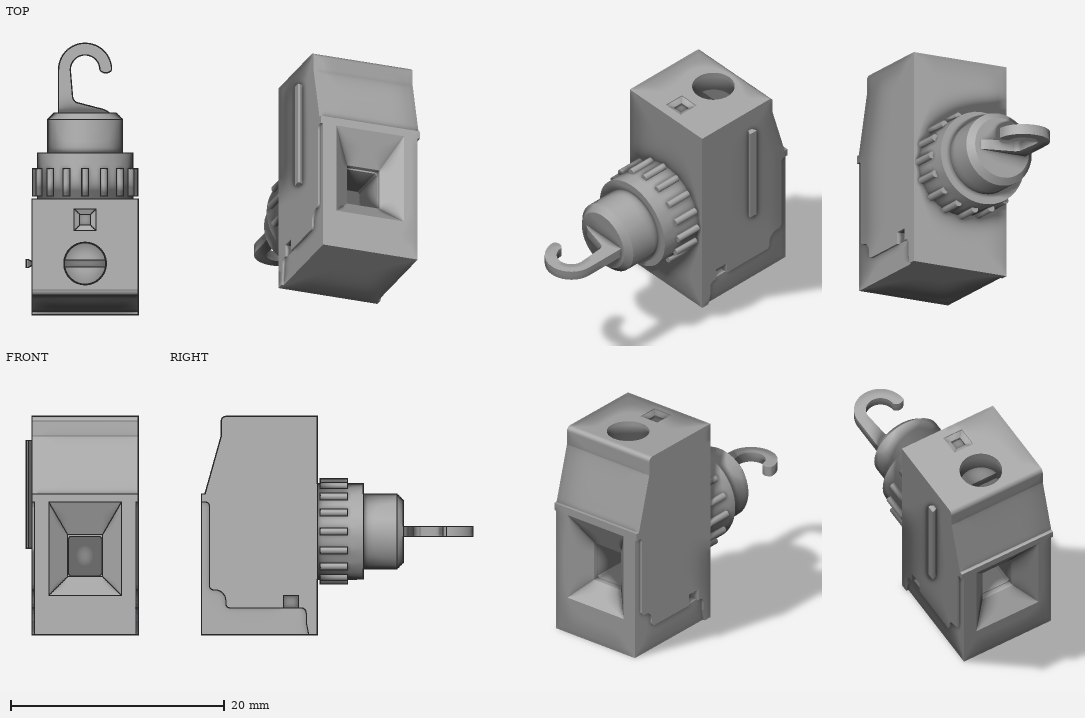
import cadquery as cq
import math


width = 10.0
depth = 10.9
height = 20.5
half_width = width / 2
brow_y = 1.85
brow_round = 0.45
slope_top_z = 18.67
slope_bottom_y = 0.33
ledge_z = 13.2

step_depth = 0.23
step_top_z = 12.45
step_front_y = 0.76
step_shoulder_z = 4.2
step_shoulder_y = 2.3
step_low_z = 2.52
step_back_y = 9.85
step_back_foot_y = 10.07
step_back_bend_z = 1.17
step_corner_round = 0.38
step_shoulder_round = 1.02
step_back_round = 0.5

pocket_front_y = 7.7
pocket_back_y = 9.1
pocket_height = 1.15
pocket_depth = 0.85

funnel_width = 6.8
funnel_bottom_z = 3.7
funnel_top_z = step_top_z
funnel_depth = 1.78
throat_width = 3.26
throat_bottom_z = 5.45
throat_top_z = 9.38
throat_length = 0.54

screw_y = 4.82
clamp_width = 4.85
clamp_bottom_z = 4.6
clamp_top_z = 10.2
clamp_front_y = funnel_depth + throat_length
clamp_back_y = 2 * screw_y - clamp_front_y
clamp_back_wall = 0.5
window_width = 3.15
window_bottom_z = 5.53
window_top_z = 9.23
window_chamfer = 0.2

screw_diameter = 3.88
screw_hole_diameter = 4.0
screw_sink = 2.0
slot_width = 0.7
slot_depth = 0.76
screw_top_z = height - screw_sink

test_y = 8.92
test_mouth = 2.05
test_throat = 1.02
test_rim_depth = 0.1
test_taper_depth = 0.23
test_throat_depth = 0.25

rail_height = 0.54
rail_width = 0.76
rail_root_width = 0.35
rail_lip = 0.2
rail_bottom_z = 8.1
rail_top_z = 18.23

axis_z = 9.7
collar_radius = 4.5
collar_end_y = 15.2
rib_count = 16
rib_radius = 0.33
rib_circle_radius = 4.62
rib_start_y = 11.15
rib_end_y = 13.72

barrel_radius = 3.52
barrel_end_y = 18.95
barrel_chamfer = 0.6
hook_tip_y = 25.5
hook_thickness = 0.97
hook_outer_radius = 2.5
hook_inner_radius = 1.38
hook_center_y = hook_tip_y - hook_outer_radius
hook_end_bulge = 0.3
stem_inner_x = -1.17
stem_inner_y = 20.53
root_bend = (-1.05, 20.15)
root_x = -0.75
root_y = 19.92
foot_x = 1.33
foot_y = 19.38
foot_bend = (1.84, 19.23)
foot_end_x = 2.3


def box(x_min, x_max, y_min, y_max, z_min, z_max):
    size = (x_max - x_min, y_max - y_min, z_max - z_min)
    return cq.Workplane("XY").box(*size, centered=False).translate((x_min, y_min, z_min))


def rod(radius, y_min, y_max, x=0.0, z=axis_z):
    """Cylinder along Y."""
    axis = cq.Vector(0, 1, 0)
    return cq.Workplane(cq.Solid.makeCylinder(radius, y_max - y_min, cq.Vector(x, y_min, z), axis))


def upright(diameter, z_min, z_max):
    """Cylinder along Z on the screw axis."""
    return (
        cq.Workplane("XY", origin=(0, screw_y, z_min))
        .circle(diameter / 2)
        .extrude(z_max - z_min)
    )


def housing_block():
    outline = [
        (0, 0),
        (depth, 0),
        (depth, height),
        (brow_y, height),
        (brow_y, slope_top_z),
        (slope_bottom_y, ledge_z),
        (0, ledge_z),
    ]
    block = cq.Workplane("YZ").polyline(outline).close().extrude(half_width, both=True)
    brow_edge = cq.selectors.NearestToPointSelector((0, brow_y, height))
    return block.edges(brow_edge).fillet(brow_round)


def side_step(outer_x):
    """Stepped-back area in front of and below the side panel, one step deep from outer_x inwards."""
    outline = [
        (0, 0),
        (0, step_top_z),
        (step_front_y, step_top_z),
        (step_front_y, step_shoulder_z),
        (step_shoulder_y, step_shoulder_z),
        (step_shoulder_y, step_low_z),
        (step_back_y, step_low_z),
        (step_back_y, step_back_bend_z),
        (step_back_foot_y, 0),
    ]
    rounded_corners = [
        (step_front_y, step_top_z, step_corner_round),
        (step_front_y, step_shoulder_z, step_corner_round),
        (step_shoulder_y, step_shoulder_z, step_shoulder_round),
        (step_shoulder_y, step_low_z, step_corner_round),
        (step_back_y, step_low_z, step_back_round),
    ]
    inward = -math.copysign(step_depth, outer_x)
    step = cq.Workplane("YZ", origin=(outer_x, 0, 0)).polyline(outline).close().extrude(inward)
    for y, z, radius in rounded_corners:
        corner = cq.selectors.NearestToPointSelector((outer_x + inward / 2, y, z))
        step = step.edges("|X").edges(corner).fillet(radius)
    return step


def latch_pockets():
    """One pocket in each side of the block."""
    floor_x = half_width - pocket_depth
    pocket_top_z = step_low_z + pocket_height
    right = box(floor_x, half_width, pocket_front_y, pocket_back_y, step_low_z, pocket_top_z)
    return right.union(right.mirror("YZ"))


def wire_entry():
    throat_z = (throat_bottom_z + throat_top_z) / 2
    funnel_z = (funnel_bottom_z + funnel_top_z) / 2
    throat_height = throat_top_z - throat_bottom_z
    funnel = (
        cq.Workplane("XZ", origin=(0, 0, funnel_z))
        .rect(funnel_width, funnel_top_z - funnel_bottom_z)
        .workplane(offset=-funnel_depth)
        .center(0, throat_z - funnel_z)
        .rect(throat_width, throat_height)
        .loft(ruled=True)
    )
    throat = box(
        -throat_width / 2, throat_width / 2,
        funnel_depth, clamp_front_y,
        throat_bottom_z, throat_top_z,
    )
    return funnel.union(throat)


def clamp_space():
    return box(
        -clamp_width / 2, clamp_width / 2,
        clamp_front_y, clamp_back_y,
        clamp_bottom_z, clamp_top_z,
    )


def test_hole():
    taper_top_z = height - test_rim_depth
    rim = cq.Workplane("XY", origin=(0, test_y, taper_top_z)).rect(test_mouth, test_mouth)
    taper = (
        cq.Workplane("XY", origin=(0, test_y, taper_top_z))
        .rect(test_mouth, test_mouth)
        .workplane(offset=-test_taper_depth)
        .rect(test_throat, test_throat)
        .loft(ruled=True)
    )
    throat = (
        cq.Workplane("XY", origin=(0, test_y, taper_top_z - test_taper_depth))
        .rect(test_throat, test_throat)
        .extrude(-test_throat_depth)
    )
    return rim.extrude(test_rim_depth).union(taper).union(throat)


def dovetail_rail():
    lip_x = -half_width - rail_height
    neck_x = lip_x + rail_lip
    outline = [
        (lip_x, screw_y - rail_width / 2),
        (neck_x, screw_y - rail_width / 2),
        (-half_width, screw_y - rail_root_width / 2),
        (-half_width, screw_y + rail_root_width / 2),
        (neck_x, screw_y + rail_width / 2),
        (lip_x, screw_y + rail_width / 2),
    ]
    rail = cq.Workplane("XY", origin=(0, 0, rail_bottom_z)).polyline(outline).close()
    return rail.extrude(rail_top_z - rail_bottom_z)


def make_housing():
    housing = housing_block()
    for outer_x in (-half_width, half_width):
        housing = housing.cut(side_step(outer_x))
    housing = housing.cut(latch_pockets())
    housing = housing.cut(wire_entry())
    housing = housing.cut(clamp_space())
    housing = housing.cut(upright(screw_hole_diameter, clamp_top_z, height))
    housing = housing.cut(test_hole())
    return housing.union(dovetail_rail())


def make_clamp():
    """Block that fills its space in the housing, with a blind window for the wire."""
    window = box(
        -window_width / 2, window_width / 2,
        clamp_front_y, clamp_back_y - clamp_back_wall,
        window_bottom_z, window_top_z,
    )
    return clamp_space().cut(window.edges("|Y").chamfer(window_chamfer))


def make_screw():
    """Slotted screw that stands on the clamp."""
    radius = screw_diameter / 2
    slot = box(
        -radius, radius,
        screw_y - slot_width / 2, screw_y + slot_width / 2,
        screw_top_z - slot_depth, screw_top_z,
    )
    return upright(screw_diameter, clamp_top_z, screw_top_z).cut(slot)


def make_collar():
    collar = rod(collar_radius, depth, collar_end_y)
    for i in range(rib_count):
        angle = 2 * math.pi * i / rib_count
        rib_x = rib_circle_radius * math.cos(angle)
        rib_z = axis_z + rib_circle_radius * math.sin(angle)
        collar = collar.union(rod(rib_radius, rib_start_y, rib_end_y, rib_x, rib_z))
    return collar


def hook():
    tip_x = (hook_outer_radius + hook_inner_radius) / 2
    outline = (
        cq.Workplane("XY", origin=(0, 0, axis_z))
        .moveTo(-hook_outer_radius, barrel_end_y)
        .lineTo(-hook_outer_radius, hook_center_y)
        .threePointArc((0, hook_tip_y), (hook_outer_radius, hook_center_y))
        .threePointArc((tip_x, hook_center_y - hook_end_bulge), (hook_inner_radius, hook_center_y))
        .threePointArc((0, hook_center_y + hook_inner_radius), (-hook_inner_radius, hook_center_y))
        .lineTo(stem_inner_x, stem_inner_y)
        .threePointArc(root_bend, (root_x, root_y))
        .lineTo(foot_x, foot_y)
        .threePointArc(foot_bend, (foot_end_x, barrel_end_y))
        .close()
    )
    return outline.extrude(hook_thickness / 2, both=True)


def make_hook_plug():
    barrel = rod(barrel_radius, collar_end_y, barrel_end_y).faces(">Y").chamfer(barrel_chamfer)
    return barrel.union(hook())


housing = make_housing()
clamp = make_clamp()
screw = make_screw()
collar = make_collar()
hook_plug = make_hook_plug()

result = cq.Compound.makeCompound(
    [housing.val(), clamp.val(), screw.val(), collar.val(), hook_plug.val()]
)